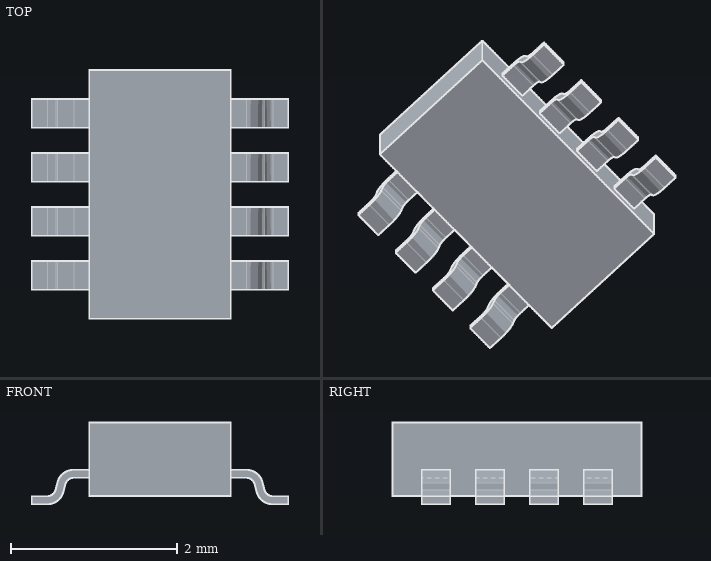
import cadquery as cq
import math


overall_width = 3.09
overall_height = 0.99

body_width = 1.705
body_length = 3.0
standoff = 0.1
body_height = overall_height - standoff

leads_per_side = 4
lead_pitch = 0.65
lead_width = 0.348
lead_thickness = 0.1
lead_rise = 0.32
bend_angle = math.radians(76)
inner_radius = 0.105
outer_radius = inner_radius + lead_thickness
lead_reach = (overall_width - body_width) / 2

bend_sin = math.sin(bend_angle)
bend_cos = math.cos(bend_angle)
bends_run = (inner_radius + outer_radius) * bend_sin
bends_rise = (inner_radius + outer_radius) * (1 - bend_cos)
leg_rise = lead_rise - bends_rise
leg_run = leg_rise / math.tan(bend_angle)

flat_length = (lead_reach - bends_run - leg_run) / 2


def bend_point(center, radius, angle):
    """Point on a bend, at an angle measured from straight up."""
    return (center[0] + radius * math.sin(angle), center[1] + radius * math.cos(angle))


def make_body():
    """Plain rectangular block resting at the standoff height."""
    return (
        cq.Workplane("XY")
        .workplane(offset=standoff)
        .rect(body_width, body_length)
        .extrude(body_height)
    )


def make_lead(y_center):
    """Gull-wing lead on the -X side, its shoulder ending flush on the body side."""
    tip_x = -overall_width / 2
    root_x = -body_width / 2
    shoulder_bottom = lead_rise
    shoulder_top = lead_rise + lead_thickness

    foot_center = (tip_x + flat_length, lead_thickness + inner_radius)
    shoulder_center = (root_x - flat_length, shoulder_bottom - inner_radius)
    foot_end = math.pi - bend_angle
    foot_middle = math.pi - bend_angle / 2
    shoulder_end = -bend_angle
    shoulder_middle = -bend_angle / 2

    profile = (
        cq.Workplane("XZ", origin=(0, y_center + lead_width / 2, 0))
        .moveTo(tip_x, 0)
        .lineTo(foot_center[0], 0)
        .threePointArc(
            bend_point(foot_center, outer_radius, foot_middle),
            bend_point(foot_center, outer_radius, foot_end),
        )
        .lineTo(*bend_point(shoulder_center, inner_radius, shoulder_end))
        .threePointArc(
            bend_point(shoulder_center, inner_radius, shoulder_middle),
            (shoulder_center[0], shoulder_bottom),
        )
        .lineTo(root_x, shoulder_bottom)
        .lineTo(root_x, shoulder_top)
        .lineTo(shoulder_center[0], shoulder_top)
        .threePointArc(
            bend_point(shoulder_center, outer_radius, shoulder_middle),
            bend_point(shoulder_center, outer_radius, shoulder_end),
        )
        .lineTo(*bend_point(foot_center, inner_radius, foot_end))
        .threePointArc(
            bend_point(foot_center, inner_radius, foot_middle),
            (foot_center[0], lead_thickness),
        )
        .lineTo(tip_x, lead_thickness)
        .close()
    )
    return profile.extrude(lead_width)


body = make_body()

leads = []
for index in range(leads_per_side):
    y_center = (index - (leads_per_side - 1) / 2) * lead_pitch
    left_lead = make_lead(y_center)
    right_lead = left_lead.mirror("YZ")
    leads.append(left_lead.val())
    leads.append(right_lead.val())

result = cq.Compound.makeCompound([body.val(), *leads])